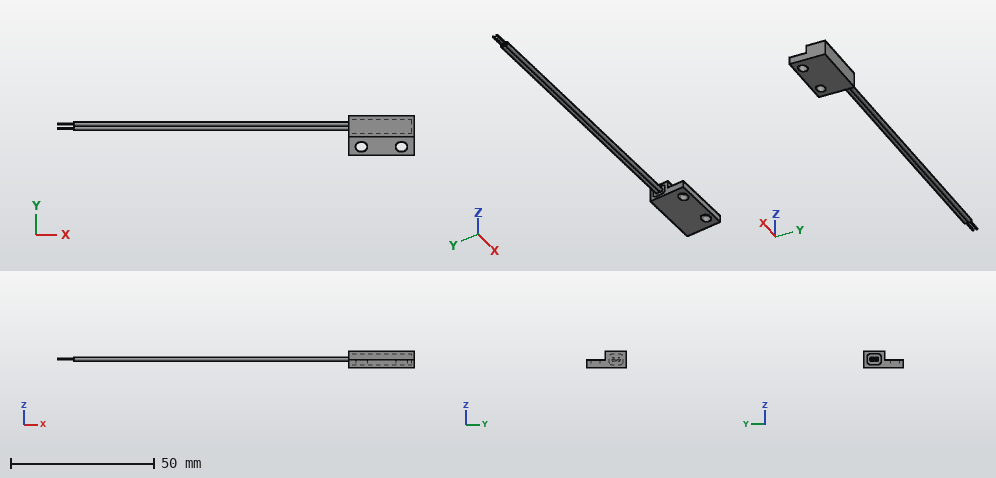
import cadquery as cq

total_length = 124.64

housing_length = 23.0
housing_width = 13.9
housing_height = 5.8
block_width = 7.4
flange_thickness = 2.8
housing_start = total_length - housing_length

slot_length = 4.0
slot_width = 3.2
slot_count = 2
slot_pitch = 14.0
slot_edge_distance = 3.0

potting_width = 5.0
potting_height = 3.8
potting_corner_radius = 1.25
potting_end_wall = 1.0
potting_depth = housing_length - potting_end_wall

insulation_diameter = 1.5
conductor_diameter = 0.5
stripped_length = 5.64
wire_count = 2

cable_edge_distance = 3.7
cable_y = housing_width - cable_edge_distance
cable_z = 3.0


def cavity_fill():
    """Rounded bar of potting compound, flush with the cable end of the housing."""
    return (
        cq.Workplane("YZ", origin=(housing_start, cable_y, cable_z))
        .rect(potting_width, potting_height)
        .extrude(potting_depth)
        .edges("|X")
        .fillet(potting_corner_radius)
    )


def make_housing():
    """Stepped housing with two mounting slots and a blind cavity."""
    block_side = housing_width - block_width
    body = (
        cq.Workplane("YZ", origin=(housing_start, 0, 0))
        .moveTo(0, 0)
        .lineTo(housing_width, 0)
        .lineTo(housing_width, housing_height)
        .lineTo(block_side, housing_height)
        .lineTo(block_side, flange_thickness)
        .lineTo(0, flange_thickness)
        .close()
        .extrude(housing_length)
    )
    slots = (
        cq.Workplane("XY", origin=(housing_start + housing_length / 2, slot_edge_distance, 0))
        .rarray(slot_pitch, 1, slot_count, 1)
        .slot2D(slot_length, slot_width)
        .extrude(flange_thickness)
    )
    return body.cut(slots).cut(cavity_fill())


def make_wire(axis_y):
    """Insulated wire that ends on the potting, with a bare conductor at the free tip."""
    conductor_side = -conductor_diameter / 2
    insulation_side = -insulation_diameter / 2
    return (
        cq.Workplane("XY", origin=(0, axis_y, cable_z))
        .moveTo(0, 0)
        .lineTo(0, conductor_side)
        .lineTo(stripped_length, conductor_side)
        .lineTo(stripped_length, insulation_side)
        .lineTo(housing_start, insulation_side)
        .lineTo(housing_start, 0)
        .close()
        .revolve(360, (0, 0, 0), (1, 0, 0))
    )


housing = make_housing()
potting = cavity_fill()

wires = []
for index in range(wire_count):
    offset = (index - (wire_count - 1) / 2) * insulation_diameter
    wires.append(make_wire(cable_y + offset).val())

result = cq.Compound.makeCompound([housing.val(), potting.val(), *wires])